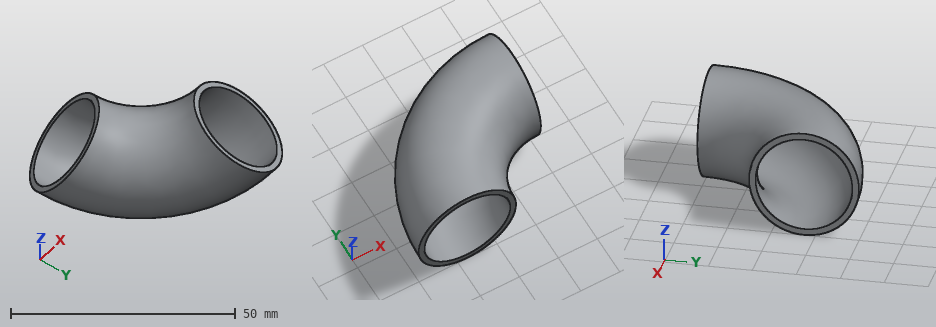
import cadquery as cq


overall_length = 40.0
outer_diameter = 25.0
inner_diameter = 22.0
bend_angle = 90.0

bend_radius = overall_length - outer_diameter / 2

pipe_section = (
    cq.Workplane("XZ")
    .center(-bend_radius, 0)
    .circle(outer_diameter / 2)
    .circle(inner_diameter / 2)
)

axis_start = (bend_radius, 0)
axis_end = (bend_radius, -1)
result = pipe_section.revolve(bend_angle, axis_start, axis_end)